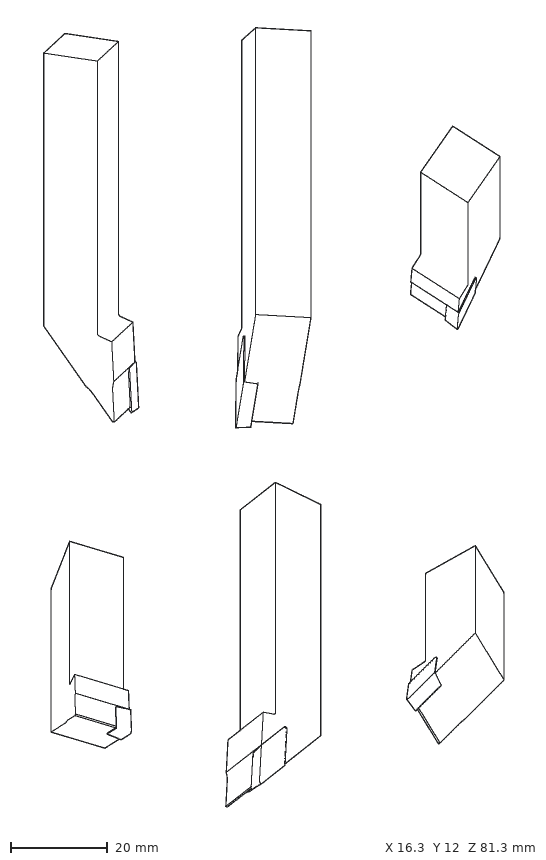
import cadquery as cq
import math

LENGTH = 81.35
SHANK_WIDTH = 11.95
HOLDER_DEPTH = 11.8
OVERALL_WIDTH = 16.35
OVERALL_DEPTH = 12.0

INSERT_EDGE = 11.1
INSERT_ANGLE = 35.0
INSERT_THICKNESS = 3.2
NOSE_RADIUS = 0.4
CLEARANCE_ANGLE = 5.0

RIGHT_EDGE_ANGLE = 3.0
LEFT_EDGE_ANGLE = RIGHT_EDGE_ANGLE + INSERT_ANGLE

FLANK_SETBACK = 0.2
RELIEF_SETBACK = 0.6
RELIEF_RADIUS = 6.1
HOLDER_TIP_Z = 1.5
LEFT_RELIEF_TOP = 8.5
RIGHT_RELIEF_TOP = 10.5
SHOULDER_CORNER_Z = 20.25
SHOULDER_SLOPE = 17.0
SHOULDER_RADIUS = 0.65


def edge_direction(angle):
    """Unit (X, Z) vector that climbs from the tip, leaning toward -X by the angle."""
    return -math.sin(math.radians(angle)), math.cos(math.radians(angle))


RIGHT_EDGE = edge_direction(RIGHT_EDGE_ANGLE)
LEFT_EDGE = edge_direction(LEFT_EDGE_ANGLE)
BISECTOR = edge_direction((RIGHT_EDGE_ANGLE + LEFT_EDGE_ANGLE) / 2)
HALF_ANGLE_SINE = math.sin(math.radians(INSERT_ANGLE / 2))

NOSE_TO_POINT = NOSE_RADIUS / HALF_ANGLE_SINE
POINT_X = OVERALL_WIDTH - NOSE_RADIUS - NOSE_TO_POINT * BISECTOR[0]
POINT_Z = NOSE_RADIUS - NOSE_TO_POINT * BISECTOR[1]


def setback_point(setback):
    """Where two lines meet that lie inside the cutting edges by the setback."""
    distance = setback / HALF_ANGLE_SINE
    return POINT_X + distance * BISECTOR[0], POINT_Z + distance * BISECTOR[1]


def along(start, direction, distance):
    """Point at the distance from the start along the direction."""
    return start[0] + distance * direction[0], start[1] + distance * direction[1]


def at_height(start, direction, z):
    """Point at height Z on the line through the start."""
    return along(start, direction, (z - start[1]) / direction[1])


def at_x(start, direction, x):
    """Point at the given X on the line through the start."""
    return along(start, direction, (x - start[0]) / direction[0])


def make_insert():
    """Rhombic plate with rounded corners, narrowing toward -Y at the clearance angle."""
    point = (POINT_X, POINT_Z)
    right_corner = along(point, RIGHT_EDGE, INSERT_EDGE)
    left_corner = along(point, LEFT_EDGE, INSERT_EDGE)
    far_point = along(right_corner, LEFT_EDGE, INSERT_EDGE)
    outline = (
        cq.Sketch()
        .polygon([point, right_corner, far_point, left_corner, point])
        .vertices()
        .fillet(NOSE_RADIUS)
    )
    return (
        cq.Workplane("XZ", origin=(0, OVERALL_DEPTH, 0))
        .placeSketch(outline)
        .extrude(INSERT_THICKNESS, taper=CLEARANCE_ANGLE)
    )


def relief_arc(step, direction, inward):
    """Middle and end of the arc that leads from the step on a flank to its relieved stretch.

    The arc ends tangent to the relieved stretch, which lies deeper along the inward vector.
    """
    depth = RELIEF_SETBACK - FLANK_SETBACK
    run = math.sqrt(2 * RELIEF_RADIUS * depth - depth**2)
    sweep = math.acos(1 - depth / RELIEF_RADIUS)
    centre = along(along(step, direction, -run), inward, depth - RELIEF_RADIUS)
    middle = along(centre, inward, RELIEF_RADIUS * math.cos(sweep / 2))
    middle = along(middle, direction, RELIEF_RADIUS * math.sin(sweep / 2))
    return middle, along(centre, inward, RELIEF_RADIUS)


def shoulder_end(flank_tip):
    """Point where the sloping shoulder meets the right flank."""
    slope = math.tan(math.radians(SHOULDER_SLOPE))
    flank_lean = math.tan(math.radians(RIGHT_EDGE_ANGLE))
    flank_x = at_height(flank_tip, RIGHT_EDGE, SHOULDER_CORNER_Z)[0]
    run = (flank_x - SHANK_WIDTH) / (1 - slope * flank_lean)
    return along((SHANK_WIDTH, SHOULDER_CORNER_Z), (1, -slope), run)


def make_blank():
    """Shank and head as one profile along Y, with the flanks relieved beside the insert."""
    flank_tip = setback_point(FLANK_SETBACK)
    relief_tip = setback_point(RELIEF_SETBACK)

    left_step = at_height(flank_tip, LEFT_EDGE, LEFT_RELIEF_TOP)
    left_inward = (LEFT_EDGE[1], -LEFT_EDGE[0])
    left_middle, left_end = relief_arc(left_step, LEFT_EDGE, left_inward)

    right_step = at_height(flank_tip, RIGHT_EDGE, RIGHT_RELIEF_TOP)
    right_inward = (-RIGHT_EDGE[1], RIGHT_EDGE[0])
    right_middle, right_end = relief_arc(right_step, RIGHT_EDGE, right_inward)

    shoulder_corner = (SHANK_WIDTH, HOLDER_DEPTH / 2, SHOULDER_CORNER_Z)
    return (
        cq.Workplane("XZ", origin=(0, HOLDER_DEPTH, 0))
        .moveTo(0, LENGTH)
        .lineTo(*at_x(flank_tip, LEFT_EDGE, 0))
        .lineTo(*left_step)
        .threePointArc(left_middle, left_end)
        .lineTo(*at_height(relief_tip, LEFT_EDGE, HOLDER_TIP_Z))
        .lineTo(*at_height(relief_tip, RIGHT_EDGE, HOLDER_TIP_Z))
        .lineTo(*right_end)
        .threePointArc(right_middle, right_step)
        .lineTo(*shoulder_end(flank_tip))
        .lineTo(SHANK_WIDTH, SHOULDER_CORNER_Z)
        .lineTo(SHANK_WIDTH, LENGTH)
        .close()
        .extrude(HOLDER_DEPTH)
        .edges(cq.selectors.NearestToPointSelector(shoulder_corner))
        .fillet(SHOULDER_RADIUS)
    )


insert = make_insert()
holder = make_blank().cut(insert)

result = cq.Compound.makeCompound([holder.solids().val(), insert.val()])